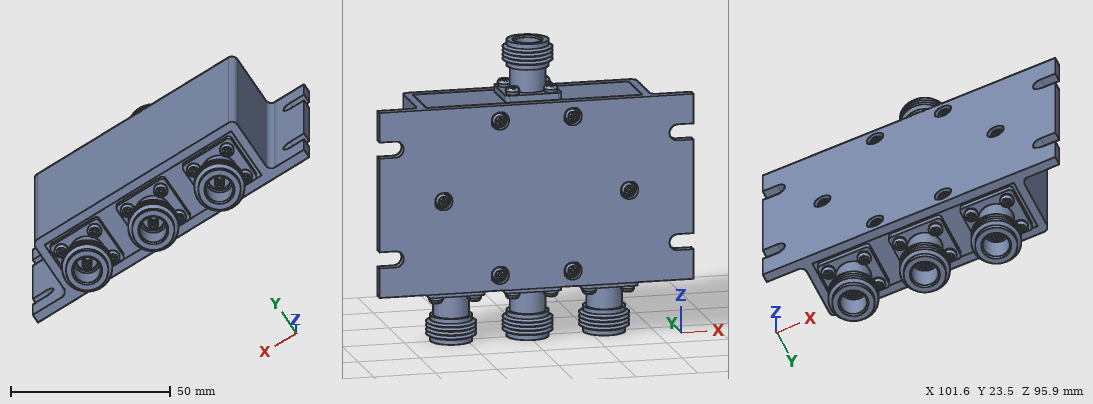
import cadquery as cq

plate_width = 101.6
plate_thickness = 3.0
housing_height = 59.9
housing_depth = 23.5
block_width = 75.6
block_corner_radius = 2.0

wall_thickness = 2.8
end_recess_depth = 0.1

slot_width = 5.2
slot_length = 7.7
slot_spacing = 35.6

counterbore_radius = 2.8
counterbore_depth = 2.4
cover_screw_x = 11.8
cover_screw_z = 25.0
side_screw_x = 30.1

head_height = 2.4
head_foot_radius = 2.0
head_radius = 2.2
head_rim_height = 1.0
shoulder_radius = 1.5
shoulder_height = 2.1
shoulder_mid_radius = 1.9
shoulder_mid_height = 1.7
crown_mid_radius = 0.8
crown_mid_height = 2.3
cross_length = 2.8
cross_width = 0.7
cross_depth = 1.0

outer_height = 95.9
connector_spacing = 24.8
flange_width = 18.2
flange_depth = 16.3
flange_thickness = 2.1
flange_corner_radius = 1.2
flange_screw_x = 6.2
flange_screw_y = 5.3
neck_radius = 5.7
collar_diameter = 13.3
collar_radius = collar_diameter / 2
collar_length = 8.3
thread_radius = 7.9
thread_pitch = 1.3
thread_count = 4
thread_tip_offset = 2.2
mouth_radius = 4.8
bore_radius = 4.3
mouth_chamfer = mouth_radius - bore_radius
bore_depth = 9.1
inner_bore_radius = 3.6
inner_bore_depth = 10.2
contact_radius = 1.5
contact_hole_radius = 0.4
contact_chamfer = 0.3
contact_depth = 5.1
contact_slit_width = 0.4
contact_slit_length = 3.0

housing_top = housing_height / 2
recess_width = block_width - 2 * wall_thickness
recess_depth_y = housing_depth - plate_thickness - wall_thickness
recess_center_y = plate_thickness + recess_depth_y / 2
connector_y = housing_depth / 2
seat_z = housing_top - end_recess_depth
connector_height = outer_height / 2 - seat_z


def make_screw_head():
    """Pan head with a cross recess, standing on z = 0 and pointing along +Z."""
    head = (
        cq.Workplane("XZ")
        .lineTo(head_foot_radius, 0)
        .lineTo(head_radius, head_rim_height)
        .threePointArc((shoulder_mid_radius, shoulder_mid_height), (shoulder_radius, shoulder_height))
        .threePointArc((crown_mid_radius, crown_mid_height), (0, head_height))
        .close()
        .revolve(360, (0, 0, 0), (0, 1, 0))
    )
    cross = cq.Workplane("XY").workplane(offset=head_height - cross_depth)
    for length_x, length_y in ((cross_length, cross_width), (cross_width, cross_length)):
        head = head.cut(cross.rect(length_x, length_y).extrude(cross_depth))
    return head


def make_housing():
    """Mounting plate and block with slots, end recesses and cover screws."""
    half_block = block_width / 2
    half_plate = plate_width / 2
    housing = (
        cq.Workplane("XY")
        .workplane(offset=-housing_top)
        .moveTo(-half_plate, 0)
        .lineTo(half_plate, 0)
        .lineTo(half_plate, plate_thickness)
        .lineTo(half_block, plate_thickness)
        .lineTo(half_block, housing_depth)
        .lineTo(-half_block, housing_depth)
        .lineTo(-half_block, plate_thickness)
        .lineTo(-half_plate, plate_thickness)
        .close()
        .extrude(housing_height)
    )
    overhang = half_plate - half_block
    block_zone = cq.selectors.BoxSelector(
        (-half_plate + overhang / 2, 0, -housing_top),
        (half_plate - overhang / 2, 2 * housing_depth, housing_top),
    )
    housing = housing.edges("|Z").edges(block_zone).fillet(block_corner_radius)

    slots = (
        cq.Workplane("XZ")
        .rect(plate_width, slot_spacing, forConstruction=True)
        .vertices()
        .slot2D(2 * slot_length, slot_width)
        .extrude(-plate_thickness)
    )
    housing = housing.cut(slots)

    for floor_z in (seat_z, -housing_top):
        recess = (
            cq.Workplane("XY")
            .workplane(offset=floor_z)
            .center(0, recess_center_y)
            .rect(recess_width, recess_depth_y)
            .extrude(end_recess_depth)
        )
        housing = housing.cut(recess)

    screw_places = [(-side_screw_x, 0), (side_screw_x, 0)]
    for x in (-cover_screw_x, cover_screw_x):
        for z in (-cover_screw_z, cover_screw_z):
            screw_places.append((x, z))
    counterbores = (
        cq.Workplane("XZ").pushPoints(screw_places).circle(counterbore_radius).extrude(-counterbore_depth)
    )
    housing = housing.cut(counterbores)
    head = make_screw_head().rotate((0, 0, 0), (1, 0, 0), 90)
    for x, z in screw_places:
        housing = housing.union(head.translate((x, counterbore_depth, z)))
    return housing


def make_connector():
    """Flange connector standing on z = 0, with its axis along +Z."""
    flange = (
        cq.Workplane("XY")
        .rect(flange_width, flange_depth)
        .extrude(flange_thickness)
        .edges("|Z")
        .fillet(flange_corner_radius)
    )

    collar_start = connector_height - collar_length
    first_tip = connector_height - thread_tip_offset
    bore_floor = connector_height - bore_depth
    inner_floor = connector_height - inner_bore_depth
    barrel = (
        cq.Workplane("XZ")
        .lineTo(neck_radius, 0)
        .lineTo(neck_radius, collar_start)
        .lineTo(collar_radius, collar_start)
    )
    for index in reversed(range(thread_count)):
        tip_z = first_tip - index * thread_pitch
        barrel = (
            barrel
            .lineTo(collar_radius, tip_z - thread_pitch / 2)
            .lineTo(thread_radius, tip_z)
        )
    barrel = (
        barrel
        .lineTo(collar_radius, first_tip + thread_pitch / 2)
        .lineTo(collar_radius, connector_height)
        .lineTo(mouth_radius, connector_height)
        .lineTo(bore_radius, connector_height - mouth_chamfer)
        .lineTo(bore_radius, bore_floor)
        .lineTo(inner_bore_radius, bore_floor)
        .lineTo(inner_bore_radius, inner_floor)
        .lineTo(0, inner_floor)
        .close()
        .revolve(360, (0, 0, 0), (0, 1, 0))
    )

    contact_length = inner_bore_depth - contact_depth
    contact_tip = connector_height - contact_depth
    contact = (
        cq.Workplane("XY")
        .workplane(offset=inner_floor)
        .circle(contact_radius)
        .extrude(contact_length)
        .faces(">Z")
        .chamfer(contact_chamfer)
    )
    contact_cut = cq.Workplane("XY").workplane(offset=contact_tip - contact_slit_length)
    contact = contact.cut(contact_cut.circle(contact_hole_radius).extrude(contact_slit_length))
    for angle in (0, 90):
        slit = contact_cut.rect(2 * contact_radius, contact_slit_width).extrude(contact_slit_length)
        contact = contact.cut(slit.rotate((0, 0, 0), (0, 0, 1), angle))

    connector = flange.union(barrel).union(contact)
    head = make_screw_head()
    for x in (-flange_screw_x, flange_screw_x):
        for y in (-flange_screw_y, flange_screw_y):
            connector = connector.union(head.translate((x, y, flange_thickness)))
    return connector


housing = make_housing()

connector = make_connector()
connectors = [connector.translate((0, connector_y, seat_z))]
inverted_connector = connector.rotate((0, 0, 0), (1, 0, 0), 180)
for x in (-connector_spacing, 0, connector_spacing):
    connectors.append(inverted_connector.translate((x, connector_y, -seat_z)))

result = cq.Compound.makeCompound([housing.val(), *[body.val() for body in connectors]])